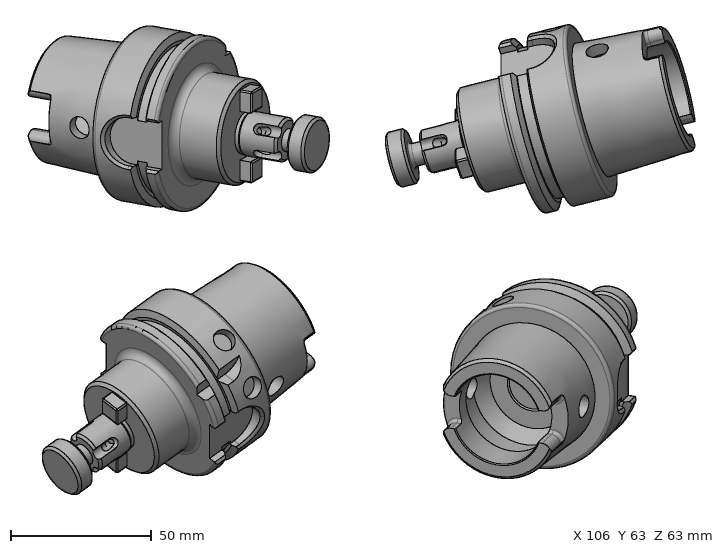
import cadquery as cq
import math


shank_end_radius = 22.9
shank_base_radius = 24.5
shank_round = 1.1

flange_x = 32.0
flange_end_x = 57.8
flange_radius = 31.52
flange_round = 1.3
groove_radius = 27.5
groove_start_x = 47.9
groove_end_x = 51.7
groove_shoulder_radius = 28.8
groove_start_bevel = 1.1
groove_end_bevel = 1.6

neck_radius = 19.2
neck_end_x = 76.9
neck_fillet = 3.0
neck_chamfer = 1.2
pilot_radius = 8.0
pilot_end_x = 93.9
pilot_chamfer = 1.0
relief_radius = 7.7
relief_end_x = 78.4
relief_ramp = 0.5

bore_radius = 17.1
bore_mouth_chamfer = 0.4
bore_straight_depth = 12.7
undercut_radius = 19.6
undercut_end_x = 25.4
bore_floor_radius = 15.9
bore_floor_x = flange_x

plug_radius = 8.7
plug_length = 8.5
plug_hole_chamfer = 0.5

slot_half_width = 6.3
slot_corner_radius = 3.2
slot_flare_y = 20.8
slot_end_fillet = 1.3
front_slot_depth = 10.1
back_slot_depth = 6.6

cross_hole_radius = 4.0
cross_hole_x = 22.9

keyway_half_width = 9.0
keyway_center_x = 45.8
keyway_floor_y = 26.5
keyway_chamfer = 1.2

notch_radius = 7.9
notch_floor = 19.9
notch_center_x = 44.1

rim_hole_radius = 4.0
rim_hole_depth = 4.2
rim_hole_x = 38.1
rim_hole_angles = (25.5, 62.5)

coolant_groove_radius = 2.1
coolant_groove_offset = 7.8
coolant_groove_x = 83.9
coolant_angle = 37.0
coolant_hole_radius = 1.6
coolant_hole_exit_x = 88.4
coolant_hole_depth = 5.3
coolant_hole_tilt = 30.0

key_length = 4.9
key_half_width = 4.0
key_inner_z = 9.1
key_outer_z = 17.1
key_chamfer = 0.5

overall_length = 106.0
tolerance = 0.01
screw_radius = 4.1
screw_tip_x = 86.9
head_x = 99.0
head_radius = 10.1
head_chamfer = 1.0
head_fillet = 1.2



def cylinder_along_x(start_x, end_x, radius):
    return cq.Workplane("YZ").workplane(offset=start_x).circle(radius).extrude(end_x - start_x)


def holder_blank():
    outline = (
        cq.Workplane("XY")
        .moveTo(0, 0)
        .lineTo(0, shank_end_radius - shank_round)
        .lineTo(shank_round, shank_end_radius)
        .lineTo(flange_x, shank_base_radius)
        .lineTo(flange_x, flange_radius - flange_round)
        .radiusArc((flange_x + flange_round, flange_radius), flange_round)
        .lineTo(groove_start_x - groove_start_bevel, flange_radius)
        .lineTo(groove_start_x, groove_shoulder_radius)
        .lineTo(groove_start_x, groove_radius)
        .lineTo(groove_end_x, groove_radius)
        .lineTo(groove_end_x, groove_shoulder_radius)
        .lineTo(groove_end_x + groove_end_bevel, flange_radius)
        .lineTo(flange_end_x - flange_round, flange_radius)
        .radiusArc((flange_end_x, flange_radius - flange_round), flange_round)
        .lineTo(flange_end_x, neck_radius + neck_fillet)
        .radiusArc((flange_end_x + neck_fillet, neck_radius), -neck_fillet)
        .lineTo(neck_end_x - neck_chamfer, neck_radius)
        .lineTo(neck_end_x, neck_radius - neck_chamfer)
        .lineTo(neck_end_x, 0)
        .close()
    )
    return outline.revolve(360, (0, 0, 0), (1, 0, 0))


def bore_and_plug_hole():
    outline = (
        cq.Workplane("XY")
        .moveTo(0, 0)
        .lineTo(0, bore_radius + bore_mouth_chamfer)
        .lineTo(bore_mouth_chamfer, bore_radius)
        .lineTo(bore_straight_depth, bore_radius)
        .lineTo(bore_straight_depth, undercut_radius)
        .lineTo(undercut_end_x, undercut_radius)
        .lineTo(bore_floor_x, bore_floor_radius)
        .lineTo(bore_floor_x, plug_radius + plug_hole_chamfer)
        .lineTo(bore_floor_x + plug_hole_chamfer, plug_radius)
        .lineTo(bore_floor_x + plug_hole_chamfer + plug_length, plug_radius)
        .lineTo(bore_floor_x + plug_hole_chamfer + plug_length, 0)
        .close()
    )
    return outline.revolve(360, (0, 0, 0), (1, 0, 0))


def driving_slot(side, depth):
    """Slot that opens at the shank end and flares out past rounded tips; side is -1 or 1 along Y."""
    flare_z = slot_half_width + slot_corner_radius
    straight_y = slot_flare_y - slot_corner_radius
    outline = (
        cq.Workplane("YZ")
        .moveTo(0, -slot_half_width)
        .lineTo(side * straight_y, -slot_half_width)
        .radiusArc((side * slot_flare_y, -flare_z), side * slot_corner_radius)
        .lineTo(side * flange_radius, -flare_z)
        .lineTo(side * flange_radius, flare_z)
        .lineTo(side * slot_flare_y, flare_z)
        .radiusArc((side * straight_y, slot_half_width), side * slot_corner_radius)
        .lineTo(0, slot_half_width)
        .close()
    )
    return outline.extrude(depth).faces(">X").edges("not #Y or %CIRCLE").fillet(slot_end_fillet)


def cross_hole():
    return (
        cq.Workplane("XZ")
        .center(cross_hole_x, 0)
        .circle(cross_hole_radius)
        .extrude(flange_radius, both=True)
    )


def keyway(side):
    """Round-ended keyway that runs out through the +X face of the flange; side is -1 or 1 along Y."""
    half_width = keyway_half_width
    outline = (
        cq.Workplane("XZ", origin=(0, side * keyway_floor_y, 0))
        .moveTo(flange_end_x, -half_width)
        .lineTo(keyway_center_x, -half_width)
        .threePointArc((keyway_center_x - half_width, 0), (keyway_center_x, half_width))
        .lineTo(flange_end_x, half_width)
        .close()
    )
    return outline.extrude(-side * flange_radius)


def chamfered_keyways():
    """Both keyways with chamfered rims, as the material they take out of a plain flange drum."""
    drum = cylinder_along_x(flange_x, flange_end_x, flange_radius)
    slotted = drum.cut(keyway(-1)).cut(keyway(1))

    def on_rim(edge):
        point = edge.positionAt(0.5)
        on_outside = abs(math.hypot(point.y, point.z) - flange_radius) < tolerance
        beside_keyway = abs(point.z) < keyway_half_width + tolerance
        return on_outside and beside_keyway and keyway_center_x - keyway_half_width - tolerance < point.x

    on_end_face = slotted.faces(">X").edges().vals()
    rims = [
        edge
        for edge in slotted.edges().vals()
        if on_rim(edge) and not any(edge.isSame(other) for other in on_end_face)
    ]
    return drum.cut(slotted.newObject(rims).chamfer(keyway_chamfer))


def orientation_notch():
    center_z = notch_floor + notch_radius
    wall = cq.Workplane("XZ", origin=(0, notch_floor, 0))
    end = wall.center(notch_center_x, center_z).circle(notch_radius).extrude(-flange_radius)
    run = (
        wall.moveTo(notch_center_x, notch_floor)
        .rect(flange_end_x - notch_center_x, 2 * notch_radius, centered=False)
        .extrude(-flange_radius)
    )
    return end.union(run)


def rim_hole(angle):
    """Blind radial hole, at an angle from +Z toward +Y."""
    return (
        cq.Workplane("XY", origin=(rim_hole_x, 0, flange_radius - rim_hole_depth))
        .circle(rim_hole_radius)
        .extrude(2 * rim_hole_depth)
        .rotate((0, 0, 0), (1, 0, 0), -angle)
    )


def around_pilot(tool, angle):
    """Moves a tool from the axis out to the groove line, at an angle from +Z toward -Y."""
    return tool.translate((0, 0, coolant_groove_offset)).rotate((0, 0, 0), (1, 0, 0), angle)


def coolant_groove(angle):
    """Round-bottomed groove with a ball end, open at the end of the pilot."""
    ball_x = coolant_groove_x + coolant_groove_radius
    outline = (
        cq.Workplane("XY")
        .moveTo(coolant_groove_x, 0)
        .radiusArc((ball_x, coolant_groove_radius), coolant_groove_radius)
        .lineTo(head_x, coolant_groove_radius)
        .lineTo(head_x, 0)
        .close()
    )
    return around_pilot(outline.revolve(360, (0, 0, 0), (1, 0, 0)), angle)


def coolant_hole(angle):
    """Slanted blind hole that rises toward the pilot end and opens in the floor of a groove."""
    tilt = math.radians(coolant_hole_tilt)
    inward = cq.Vector(-math.cos(tilt), 0, -math.sin(tilt))
    exit_point = cq.Vector(coolant_hole_exit_x, 0, -coolant_groove_radius / 2)
    hole = cq.Solid.makeCylinder(
        coolant_hole_radius,
        2 * coolant_hole_depth,
        exit_point - inward * coolant_hole_depth,
        inward,
    )
    return around_pilot(cq.Workplane(hole), angle)


def make_pilot():
    """End of the holder that centres the cutter, with the screw hole and the coolant outlets."""
    outline = (
        cq.Workplane("XY")
        .moveTo(neck_end_x, 0)
        .lineTo(neck_end_x, relief_radius)
        .lineTo(relief_end_x, relief_radius)
        .lineTo(relief_end_x + relief_ramp, pilot_radius)
        .lineTo(pilot_end_x - pilot_chamfer, pilot_radius)
        .lineTo(pilot_end_x, pilot_radius - pilot_chamfer)
        .lineTo(pilot_end_x, 0)
        .close()
    )
    pilot = outline.revolve(360, (0, 0, 0), (1, 0, 0))
    pilot = pilot.cut(cylinder_along_x(screw_tip_x, pilot_end_x, screw_radius))
    for y_axis in (90, 270):
        for offset in (-coolant_angle, coolant_angle):
            pilot = pilot.cut(coolant_groove(y_axis + offset)).cut(coolant_hole(y_axis + offset))
    return pilot


def make_holder():
    holder = holder_blank().cut(bore_and_plug_hole())
    holder = holder.cut(driving_slot(-1, front_slot_depth)).cut(driving_slot(1, back_slot_depth))
    holder = holder.cut(cross_hole())
    holder = holder.cut(chamfered_keyways())
    holder = holder.cut(orientation_notch())
    for angle in rim_hole_angles:
        holder = holder.cut(rim_hole(angle))
    return holder.union(make_pilot())


def make_plug():
    start_x = bore_floor_x + plug_hole_chamfer
    return cylinder_along_x(start_x, start_x + plug_length, plug_radius)


def make_key(side):
    """Driving key on the neck face, above (1) or below (-1) the pilot."""
    height = key_outer_z - key_inner_z
    key = (
        cq.Workplane("XY")
        .box(key_length, 2 * key_half_width, height, centered=(False, True, False))
        .edges(">X or (>Z and |X)")
        .chamfer(key_chamfer)
        .translate((neck_end_x, 0, key_inner_z))
    )
    return key if side > 0 else key.mirror("XY")


def make_screw():
    outline = (
        cq.Workplane("XY")
        .moveTo(screw_tip_x, 0)
        .lineTo(screw_tip_x, screw_radius)
        .lineTo(head_x - head_fillet, screw_radius)
        .radiusArc((head_x, screw_radius + head_fillet), -head_fillet)
        .lineTo(head_x, head_radius - head_chamfer)
        .lineTo(head_x + head_chamfer, head_radius)
        .lineTo(overall_length - head_chamfer, head_radius)
        .lineTo(overall_length, head_radius - head_chamfer)
        .lineTo(overall_length, 0)
        .close()
    )
    return outline.revolve(360, (0, 0, 0), (1, 0, 0))


holder = make_holder()
plug = make_plug()
keys = [make_key(side) for side in (1, -1)]
screw = make_screw()

result = cq.Compound.makeCompound(
    [holder.val(), plug.val(), *[key.val() for key in keys], screw.val()]
)